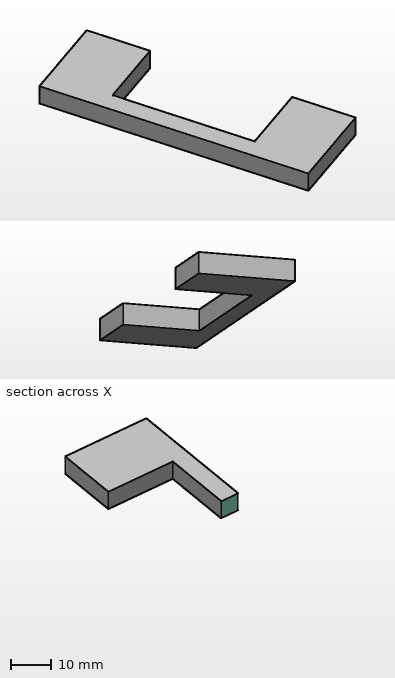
import cadquery as cq

length = 75.6
depth = 25.4
thickness = 5.5

pad_width = 17.85
bar_depth = 5.3

notch_width = length - 2 * pad_width
notch_depth = depth - bar_depth

plate = cq.Workplane("XY").box(length, depth, thickness)

notch = (
    cq.Workplane("XY")
    .box(notch_width, notch_depth, thickness)
    .translate((0, (depth - notch_depth) / 2, 0))
)

result = plate.cut(notch)